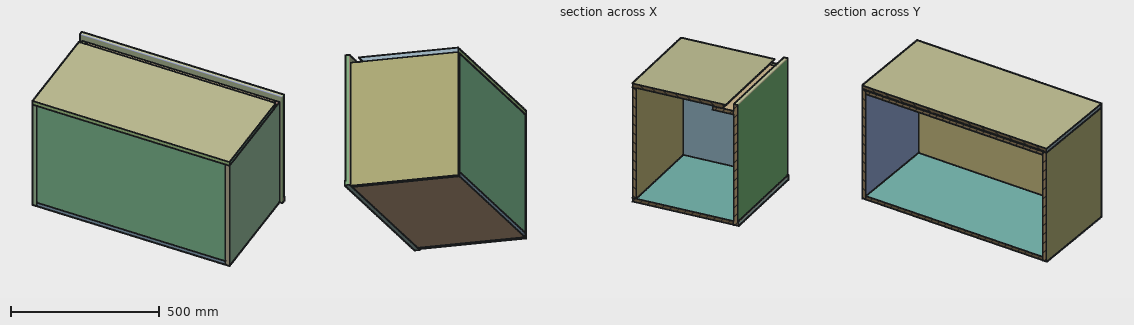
import cadquery as cq

TOTAL_WIDTH = 760.0
TOTAL_DEPTH = 399.0
TOTAL_HEIGHT = 460.0

BOARD = 16.0
SIDE_OVERHANG = 11.0
TOP_OVERHANG = 10.0
CARCASS_DEPTH = 380.0
RAIL_DEPTH = 80.0

GRIP_GAP = 28.0
GRIP_UNDERCUT = 12.0

LIP_PROJECTION = 3.0
LIP_HEIGHT = 16.0
EDGE_RADIUS = 3.0

carcass_width = TOTAL_WIDTH - 2 * SIDE_OVERHANG
inner_width = carcass_width - 2 * BOARD
carcass_height = TOTAL_HEIGHT - TOP_OVERHANG
side_height = carcass_height - BOARD
panel_thickness = TOTAL_DEPTH - CARCASS_DEPTH - LIP_PROJECTION


def board(width, depth, height, y=0, z=0):
    """A plain board centred on X, with its back at y and its underside at z."""
    blank = cq.Workplane("XY").box(width, depth, height, centered=(True, False, False))
    return blank.translate((0, y, z))


def make_side(direction):
    """A side board, on the left (-1) or the right (+1), carrying the top board."""
    offset = direction * (carcass_width - BOARD) / 2
    return board(BOARD, CARCASS_DEPTH, side_height).translate((offset, 0, 0))


def make_bottom():
    """The bottom board lies between the sides."""
    return board(inner_width, CARCASS_DEPTH, BOARD)


def make_back():
    """The back board stands on the bottom board, flush with the back of the sides."""
    return board(inner_width, BOARD, side_height - BOARD, z=BOARD)


def make_front_rail():
    """A flat rail between the sides, below the finger grip."""
    return board(inner_width, RAIL_DEPTH, BOARD, y=CARCASS_DEPTH - RAIL_DEPTH, z=side_height - BOARD)


def make_top():
    """The top board lies on the sides; its leading edge is undercut as a finger grip."""
    front_y = CARCASS_DEPTH - GRIP_GAP
    profile = [
        (0, side_height),
        (front_y - GRIP_UNDERCUT, side_height),
        (front_y, carcass_height),
        (0, carcass_height),
    ]
    return cq.Workplane("YZ").polyline(profile).close().extrude(carcass_width / 2, both=True)


def make_front_panel():
    """The front panel has a lip along its foot and rounded edges everywhere but underneath."""
    panel = board(TOTAL_WIDTH, panel_thickness, TOTAL_HEIGHT, y=CARCASS_DEPTH)
    panel = panel.faces(">Z or <X or >X").edges("not <Z").fillet(EDGE_RADIUS)
    lip = board(TOTAL_WIDTH, panel_thickness + LIP_PROJECTION, LIP_HEIGHT, y=CARCASS_DEPTH)
    lip = lip.edges("|Z or (>Y and >Z)").fillet(EDGE_RADIUS)
    return panel.union(lip)


sides = [make_side(direction) for direction in (-1, 1)]
bottom = make_bottom()
back = make_back()
front_rail = make_front_rail()
top = make_top()
front_panel = make_front_panel()

result = cq.Compound.makeCompound([
    *[side.val() for side in sides],
    bottom.val(),
    back.val(),
    front_rail.val(),
    top.val(),
    front_panel.val(),
])